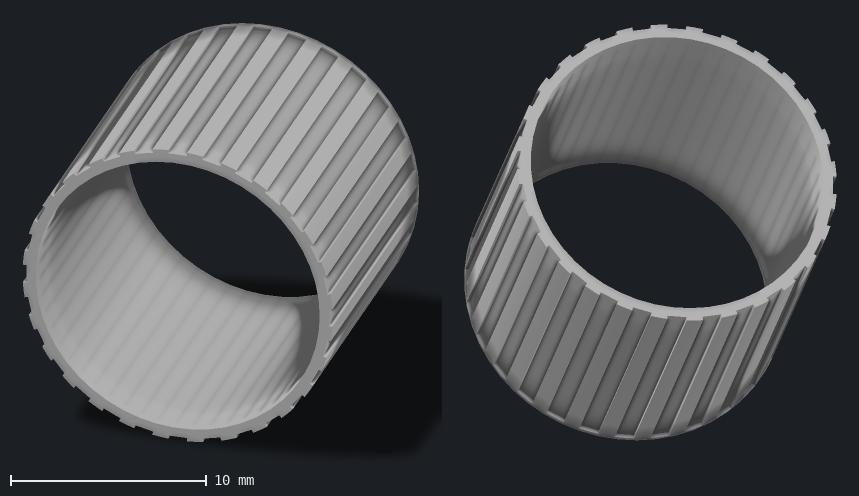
import cadquery as cq
import math

outer_radius = 8.3
wall = 0.7
length = 15.5
inner_radius = outer_radius - wall

round_radius = 1.01
round_center_radius = outer_radius - round_radius
round_length = math.sqrt(round_radius**2 - (inner_radius - round_center_radius) ** 2)

groove_count = 28
groove_width = 1.0
groove_depth = 0.2
shoulder = 0.03

front_y = -length / 2
back_y = length / 2
round_start_y = back_y - round_length
groove_length = round_start_y - shoulder - front_y


def make_sleeve():
    """Revolve the wall section, with its rounded edge, about the Y axis."""
    arc_mid_angle = math.asin(round_length / round_radius) / 2
    arc_mid = (
        round_center_radius + round_radius * math.cos(arc_mid_angle),
        round_start_y + round_radius * math.sin(arc_mid_angle),
    )
    return (
        cq.Workplane("XY")
        .moveTo(inner_radius, front_y)
        .lineTo(outer_radius, front_y)
        .lineTo(outer_radius, round_start_y)
        .threePointArc(arc_mid, (inner_radius, back_y))
        .close()
        .revolve(360, (0, 0, 0), (0, 1, 0))
    )


def make_grooves():
    """Return the cutters for the evenly spaced grooves, open at the -Y end."""
    floor_radius = outer_radius - groove_depth
    cutter_height = 2 * groove_depth
    cutter = cq.Workplane("XY").box(
        groove_width, groove_length, cutter_height, centered=(True, False, False)
    ).translate((0, front_y, floor_radius))
    cutters = cq.Workplane("XY")
    for index in range(groove_count):
        angle = index * 360 / groove_count
        cutters = cutters.add(cutter.rotate((0, 0, 0), (0, 1, 0), angle))
    return cutters.combine()


result = make_sleeve().cut(make_grooves())